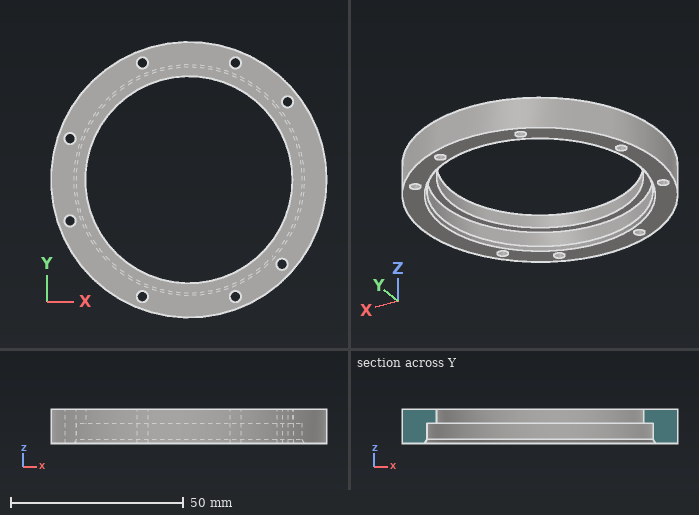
import cadquery as cq
import math

outer_diameter = 80.0
bore_diameter = 60.0
height = 10.0

lip_height = 4.2
recess_diameter = 65.6
mouth_height = 1.2
mouth_diameter = 67.0

hole_diameter = 3.2
hole_circle_radius = 36.5
hole_angles = [38.3, 68.3, 111.7, 160.9, 199.1, 248.3, 291.7, 317.8]


def ring_body():
    """Revolve the ring section, recess and flared mouth included."""
    outer_radius = outer_diameter / 2
    bore_radius = bore_diameter / 2
    recess_radius = recess_diameter / 2
    recess_top = height - lip_height
    section = [
        (outer_radius, 0),
        (outer_radius, height),
        (bore_radius, height),
        (bore_radius, recess_top),
        (recess_radius, recess_top),
        (recess_radius, mouth_height),
        (mouth_diameter / 2, 0),
    ]
    return cq.Workplane("XZ").polyline(section).close().revolve(360, (0, 0), (0, 1))


def mounting_holes():
    """Cylinders that pass through the full height at each hole angle."""
    centers = [
        (
            hole_circle_radius * math.cos(math.radians(angle)),
            hole_circle_radius * math.sin(math.radians(angle)),
        )
        for angle in hole_angles
    ]
    return cq.Workplane("XY").pushPoints(centers).circle(hole_diameter / 2).extrude(height)


result = ring_body().cut(mounting_holes())